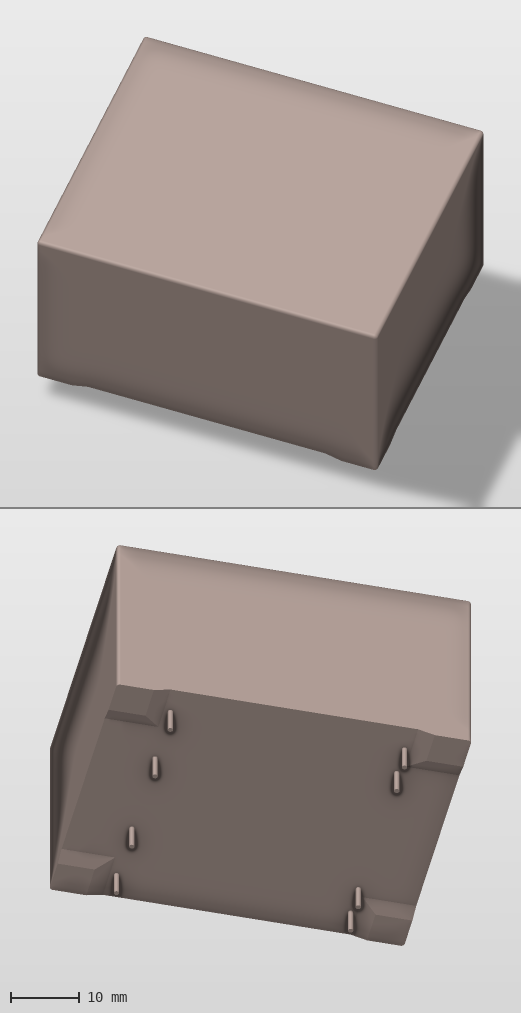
import cadquery as cq

LENGTH = 53.0
WIDTH = 44.0
HOUSING_HEIGHT = 28.6
EDGE_RADIUS = 0.55

FOOT_HEIGHT = 0.65
FOOT_LENGTH = 5.5
SLOPE_LENGTH = 2.5

PIN_DIAMETER = 0.8
PIN_DROP = 3.1
ROW_X = 17.5
OUTER_Y = 17.5
MIDDLE_Y = 12.45
INNER_Y = 7.5
PIN_POSITIONS = [
    (row_x, side * pin_y)
    for row_x, row_pins in ((-ROW_X, (OUTER_Y, MIDDLE_Y)), (ROW_X, (OUTER_Y, INNER_Y)))
    for pin_y in row_pins
    for side in (-1, 1)
]


def make_relief(plane, span, channel_length):
    """Trapezoidal channel across the underside, centred on the housing."""
    half_bottom = span / 2 - FOOT_LENGTH
    half_top = half_bottom - SLOPE_LENGTH
    return (
        cq.Workplane(plane)
        .moveTo(-half_bottom, 0)
        .lineTo(-half_top, FOOT_HEIGHT)
        .lineTo(half_top, FOOT_HEIGHT)
        .lineTo(half_bottom, 0)
        .close()
        .extrude(channel_length / 2, both=True)
    )


def make_housing():
    """Block with rounded upright and top edges and a relieved underside."""
    block = cq.Workplane("XY").box(LENGTH, WIDTH, HOUSING_HEIGHT, centered=(True, True, False))
    block = block.edges("|Z or >Z").fillet(EDGE_RADIUS)
    along_width = make_relief("XZ", LENGTH, WIDTH)
    along_length = make_relief("YZ", WIDTH, LENGTH)
    return block.cut(along_width).cut(along_length)


def make_pin(x, y):
    """Round pin from the relief face down past the feet."""
    return (
        cq.Workplane("XY")
        .workplane(offset=-PIN_DROP)
        .center(x, y)
        .circle(PIN_DIAMETER / 2)
        .extrude(PIN_DROP + FOOT_HEIGHT)
    )


housing = make_housing()
pins = [make_pin(x, y) for x, y in PIN_POSITIONS]
result = cq.Compound.makeCompound([housing.val(), *[pin.val() for pin in pins]])